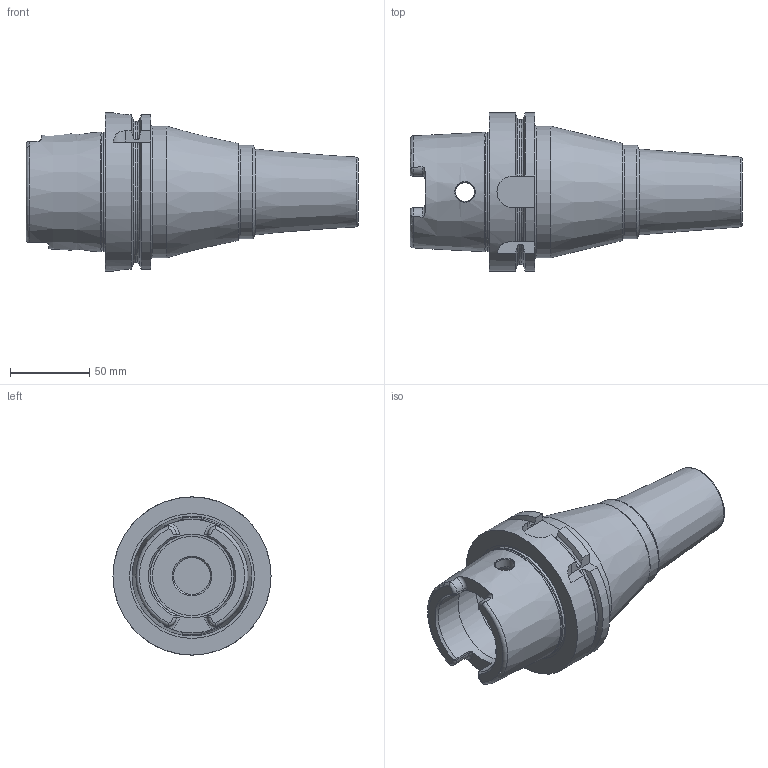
import cadquery as cq
import math


shank_length = 50.0
shank_taper = 0.05
shank_large_radius = 37.75
shank_end_fillet = 2.2
relief_start = -2.7
relief_end = -0.8
relief_depth = 0.4
face_recess_radius = 39.5
face_recess_depth = 1.0

bore_radius = 26.5
bore_chamfer = 1.1
bore_chamfer_length = 1.7
bore_end = -30.3
cavity_radius = 31.0
cavity_fillet = 6.0
cavity_floor_x = -4.0
coolant_radius = 11.6
coolant_depth = 10.0
coolant_chamfer = 0.9

notch_half_width = 10.0
notch_shoulder_height = 32.0
notch_corner_radius = 6.0
notch_floor_fillet = 1.9
notch_mouth_fillet = 2.0
upper_notch_depth = 9.5
lower_notch_depth = 14.5

cross_hole_diameter = 12.0
cross_hole_x = -15.2
cross_hole_chamfer = 0.5

flange_radius = 50.0
flange_width = 29.0
groove_center_x = 19.75
groove_top_half_width = 3.1
groove_bottom_half_width = 1.7
groove_bottom_radius = 45.8
groove_bottom_fillet = 1.4

keyway_start_x = 5.0
keyway_width = 20.0
keyway_floor = 44.0
orientation_start_x = 5.2
orientation_width = 15.6
orientation_center_y = -39.4
orientation_floor = 31.6

neck_radius = 41.7
neck_fillet = 1.0
neck_end = 38.7
neck_cone_end = 84.2
neck_cone_end_radius = 30.7
collar_radius = 29.5
collar_end = 94.2
collar_fillet = 1.2
nose_root_radius = 27.1
nose_end = 160.0
nose_end_radius = 22.0
nose_fillet = 1.2


def shank_radius(x):
    return shank_large_radius + shank_taper * (x - relief_start)


def arc_middle(center_x, center_r, radius, side_x, side_r):
    """Middle point of a quarter arc on the given sides of its centre."""
    offset = radius * math.sqrt(0.5)
    return (center_x + side_x * offset, center_r + side_r * offset)


def make_body():
    """Solid of revolution without the grooves, bores and notches."""
    relief_radius = shank_large_radius - relief_depth
    neck_root_radius = shank_radius(relief_end)
    collar_start = neck_cone_end + neck_cone_end_radius - collar_radius

    profile = (
        cq.Workplane("XY")
        .moveTo(-shank_length, 0)
        .lineTo(-shank_length, shank_radius(-shank_length))
        .lineTo(relief_start, shank_large_radius)
        .lineTo(relief_start + relief_depth, relief_radius)
        .lineTo(relief_end - relief_depth, relief_radius)
        .lineTo(relief_end, neck_root_radius)
        .lineTo(face_recess_depth, neck_root_radius)
        .lineTo(face_recess_depth, face_recess_radius)
        .lineTo(0, face_recess_radius)
        .lineTo(0, flange_radius)
        .lineTo(flange_width, flange_radius)
        .lineTo(flange_width, neck_radius + neck_fillet)
        .threePointArc(
            arc_middle(flange_width + neck_fillet, neck_radius + neck_fillet, neck_fillet, -1, -1),
            (flange_width + neck_fillet, neck_radius),
        )
        .lineTo(neck_end, neck_radius)
        .lineTo(neck_cone_end, neck_cone_end_radius)
        .threePointArc(
            arc_middle(collar_start, neck_cone_end_radius, collar_start - neck_cone_end, -1, -1),
            (collar_start, collar_radius),
        )
        .lineTo(collar_end - collar_fillet, collar_radius)
        .threePointArc(
            arc_middle(collar_end - collar_fillet, collar_radius - collar_fillet, collar_fillet, 1, 1),
            (collar_end, collar_radius - collar_fillet),
        )
        .threePointArc(
            arc_middle(collar_end + collar_fillet, nose_root_radius + collar_fillet, collar_fillet, -1, -1),
            (collar_end + collar_fillet, nose_root_radius),
        )
        .lineTo(nose_end, nose_end_radius)
        .lineTo(nose_end, 0)
        .close()
    )
    body = profile.revolve(360, (0, 0, 0), (1, 0, 0))
    return body.faces(">X").edges().fillet(nose_fillet)


def make_gripper_groove():
    """Ring with sloping walls and a rounded bottom."""
    ring = (
        cq.Workplane("XY")
        .polyline([
            (groove_center_x - groove_top_half_width, flange_radius),
            (groove_center_x - groove_bottom_half_width, groove_bottom_radius),
            (groove_center_x + groove_bottom_half_width, groove_bottom_radius),
            (groove_center_x + groove_top_half_width, flange_radius),
        ])
        .close()
        .revolve(360, (0, 0, 0), (1, 0, 0))
    )
    return ring.edges(cq.selectors.RadiusNthSelector(0)).fillet(groove_bottom_fillet)


def make_flange_slot(start_x, width, center_y, floor):
    """Slot milled along Z, rounded at its -X end and open at the +X side of the flange."""
    center_x = start_x + width / 2
    slot_length = flange_width - center_x
    height = flange_radius - floor
    straight = (
        cq.Workplane("XY", origin=(center_x, center_y, floor))
        .rect(slot_length, width)
        .extrude(height)
        .translate((slot_length / 2, 0, 0))
    )
    rounded_end = (
        cq.Workplane("XY", origin=(center_x, center_y, floor))
        .circle(width / 2)
        .extrude(height)
    )
    return straight.union(rounded_end)


def make_drive_notch(depth):
    """Notch in the +Z side of the shank end, widening over rounded shoulders."""
    shoulder_y = notch_half_width + notch_corner_radius
    corner_z = notch_shoulder_height - notch_corner_radius
    outer = flange_radius
    offset = notch_corner_radius * (1 - math.sqrt(0.5))
    shoulder_middle = (notch_half_width + offset, notch_shoulder_height - offset)
    outline = (
        cq.Workplane("YZ", origin=(-shank_length, 0, 0))
        .moveTo(-notch_half_width, 0)
        .lineTo(notch_half_width, 0)
        .lineTo(notch_half_width, corner_z)
        .threePointArc(shoulder_middle, (shoulder_y, notch_shoulder_height))
        .lineTo(outer, notch_shoulder_height)
        .lineTo(outer, outer)
        .lineTo(-outer, outer)
        .lineTo(-outer, notch_shoulder_height)
        .lineTo(-shoulder_y, notch_shoulder_height)
        .threePointArc((-shoulder_middle[0], shoulder_middle[1]), (-notch_half_width, corner_z))
        .close()
    )
    notch = outline.extrude(depth).faces(">X").edges().fillet(notch_floor_fillet)

    block = (
        cq.Workplane("XY", origin=(-shank_length + depth / 2, 0, 0))
        .box(depth, 2 * outer, outer, centered=(True, True, False))
    )
    margin = notch_mouth_fillet / 2
    inside = cq.selectors.BoxSelector(
        (-shank_length - margin, margin - outer, margin),
        (-shank_length + margin, outer - margin, outer - margin),
    )
    standing = block.cut(notch).faces("<X").edges(inside).fillet(notch_mouth_fillet)
    return block.cut(standing)


def make_cavity():
    """Bore, the wider cavity behind it with a rounded floor edge, and the blind coolant bore."""
    coolant_end = cavity_floor_x + coolant_depth
    fillet_middle = arc_middle(
        cavity_floor_x - cavity_fillet, cavity_radius - cavity_fillet, cavity_fillet, 1, 1
    )
    profile = (
        cq.Workplane("XY")
        .moveTo(-shank_length, 0)
        .lineTo(-shank_length, bore_radius + bore_chamfer)
        .lineTo(-shank_length + bore_chamfer_length, bore_radius)
        .lineTo(bore_end, bore_radius)
        .lineTo(bore_end, cavity_radius)
        .lineTo(cavity_floor_x - cavity_fillet, cavity_radius)
        .threePointArc(fillet_middle, (cavity_floor_x, cavity_radius - cavity_fillet))
        .lineTo(cavity_floor_x, coolant_radius + coolant_chamfer)
        .lineTo(cavity_floor_x + coolant_chamfer, coolant_radius)
        .lineTo(coolant_end, coolant_radius)
        .lineTo(coolant_end, 0)
        .close()
    )
    return profile.revolve(360, (0, 0, 0), (1, 0, 0))


def turned_over(shape):
    return shape.rotate((0, 0, 0), (1, 0, 0), 180)


def drill_cross_hole(part):
    """Drill through both shank walls along Z and chamfer the outer mouths."""
    drill = (
        cq.Workplane("XY", origin=(cross_hole_x, 0, 0))
        .circle(cross_hole_diameter / 2)
        .extrude(flange_radius, both=True)
    )
    drilled = part.cut(drill)
    reach = cross_hole_diameter / 2
    wall_middle = (cavity_radius + shank_radius(cross_hole_x)) / 2
    near, far = cross_hole_x - reach, cross_hole_x + reach
    upper_mouth = cq.selectors.BoxSelector((near, -reach, wall_middle), (far, reach, flange_radius))
    lower_mouth = cq.selectors.BoxSelector((near, -reach, -flange_radius), (far, reach, -wall_middle))
    return drilled.edges(upper_mouth + lower_mouth).chamfer(cross_hole_chamfer)


body = make_body().faces("<X").edges().fillet(shank_end_fillet)
body = body.cut(make_drive_notch(upper_notch_depth))
body = body.cut(turned_over(make_drive_notch(lower_notch_depth)))
body = body.cut(make_cavity())

keyway = make_flange_slot(keyway_start_x, keyway_width, 0, keyway_floor)
body = body.cut(make_gripper_groove())
body = body.cut(keyway).cut(turned_over(keyway))
orientation_notch = make_flange_slot(
    orientation_start_x, orientation_width, orientation_center_y, orientation_floor
)
body = body.cut(orientation_notch)

result = drill_cross_hole(body)